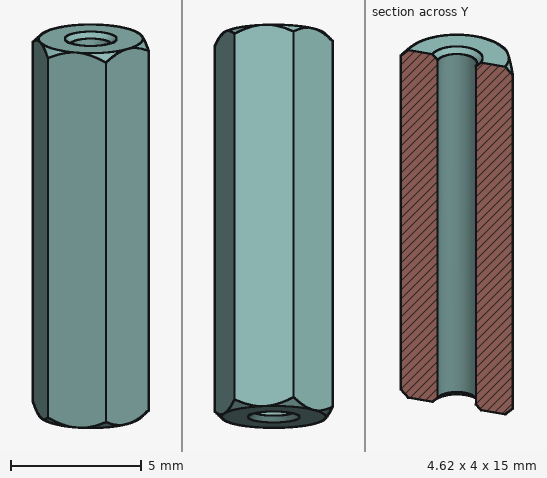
import cadquery as cq
import math

length = 15.0
across_flats = 4.0
bore_diameter = 1.56
countersink_diameter = 2.0
end_chamfer_angle = 45.0
countersink_angle = 90.0

across_corners = across_flats / math.cos(math.radians(30))
flat_radius = across_flats / 2
corner_radius = across_corners / 2
chamfer_height = (corner_radius - flat_radius) * math.tan(math.radians(end_chamfer_angle))


def turned_envelope():
    """Cylinder through the hexagon corners, coned at both ends down to the flats."""
    profile = [
        (0, 0),
        (flat_radius, 0),
        (corner_radius, chamfer_height),
        (corner_radius, length - chamfer_height),
        (flat_radius, length),
        (0, length),
    ]
    return cq.Workplane("XZ").polyline(profile).close().revolve(360, (0, 0, 0), (0, 1, 0))


hexagon = cq.Workplane("XY").polygon(6, across_corners).extrude(length)
body = hexagon.intersect(turned_envelope())

result = (
    body.faces(">Z").workplane()
    .cskHole(bore_diameter, countersink_diameter, countersink_angle)
    .faces("<Z").workplane()
    .cskHole(bore_diameter, countersink_diameter, countersink_angle)
)